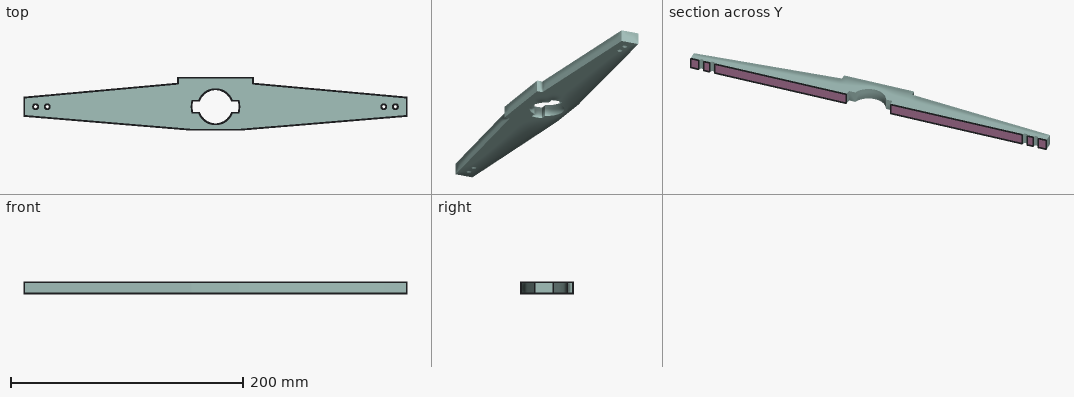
import cadquery as cq

length = 330.0
thickness = 10.0
half_length = length / 2

end_width = 16.0
body_half_width = 20.0
front_flat_length = 41.0
tab_length = 65.0
tab_height = 5.0

bore_diameter = 30.0
keyway_diameter = 41.0
keyway_width = 10.0

hole_diameter = 4.2
hole_end_distance = 10.0
hole_pitch = 10.0


def make_plate():
    """Tapered arm plate with the tab on its +Y edge."""
    half_end = end_width / 2
    half_flat = front_flat_length / 2
    half_tab = tab_length / 2
    tab_top = body_half_width + tab_height
    outline = [
        (-half_length, -half_end),
        (-half_flat, -body_half_width),
        (half_flat, -body_half_width),
        (half_length, -half_end),
        (half_length, half_end),
        (half_tab, body_half_width),
        (half_tab, tab_top),
        (-half_tab, tab_top),
        (-half_tab, body_half_width),
        (-half_length, half_end),
    ]
    return cq.Workplane("XY").polyline(outline).close().extrude(thickness)


def make_keyed_bore():
    """Cutter for the round bore plus both keyways, whose ends are arcs about the bore axis."""
    bore = cq.Workplane("XY").circle(bore_diameter / 2).extrude(thickness)
    key_bar = cq.Workplane("XY").rect(keyway_diameter, keyway_width).extrude(thickness)
    key_limit = cq.Workplane("XY").circle(keyway_diameter / 2).extrude(thickness)
    return bore.union(key_bar.intersect(key_limit))


def make_mounting_holes():
    """Cutter for the two through holes at each end of the arm."""
    outer_x = half_length - hole_end_distance
    inner_x = outer_x - hole_pitch
    centres = [(side * x, 0) for side in (-1, 1) for x in (inner_x, outer_x)]
    return cq.Workplane("XY").pushPoints(centres).circle(hole_diameter / 2).extrude(thickness)


result = make_plate().cut(make_keyed_bore()).cut(make_mounting_holes())